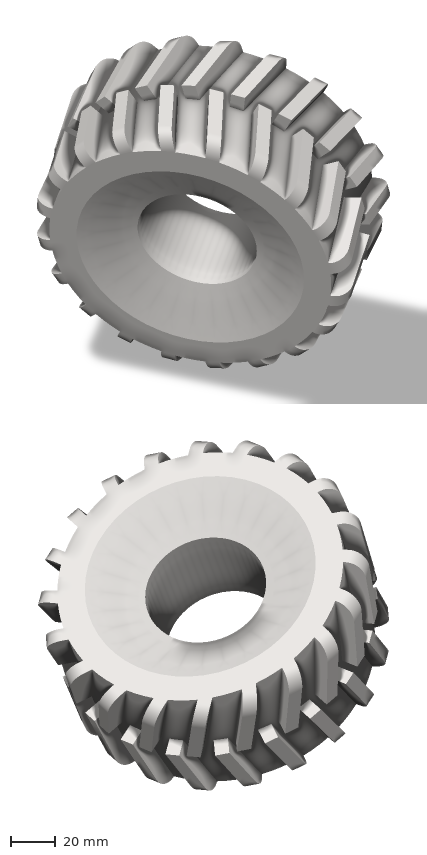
import cadquery as cq
import math

BODY_RADIUS = 65.0
BODY_WIDTH = 68.0
BORE_RADIUS = 27.5
DISH_RADIUS = 52.5
DISH_DEPTH = 11.5
HALF_WIDTH = BODY_WIDTH / 2
WHEEL_AXIS = ((0, 0, 0), (0, 1, 0))

LUG_COUNT = 20
LUG_TOP = 73.0
LUG_ROOT = 60.0
LUG_WIDTH = 6.5
LUG_END_RADIUS = LUG_TOP - BODY_RADIUS
TREAD_PHASE = 4.75
FRONT_LUG_START = -6.6
FRONT_LUG_ANGLE = 13.5
REAR_LUG_START = 3.35
REAR_LUG_ANGLE = 17.0


def make_body():
    """Ring with a conical dish on both faces, turned about the Y axis."""
    profile = [
        (BORE_RADIUS, -HALF_WIDTH + DISH_DEPTH),
        (DISH_RADIUS, -HALF_WIDTH),
        (BODY_RADIUS, -HALF_WIDTH),
        (BODY_RADIUS, HALF_WIDTH),
        (DISH_RADIUS, HALF_WIDTH),
        (BORE_RADIUS, HALF_WIDTH - DISH_DEPTH),
    ]
    return cq.Workplane("XY").polyline(profile).close().revolve(360, *WHEEL_AXIS)


def make_lug(side, start, angle):
    """Slanted bar at the top of the wheel, from the mid plane to the face at Y = side * HALF_WIDTH."""
    end_y = side * HALF_WIDTH
    shift = HALF_WIDTH * math.tan(math.radians(angle))
    footprint = [
        (start, 0),
        (start + LUG_WIDTH, 0),
        (start + LUG_WIDTH + shift, end_y),
        (start + shift, end_y),
    ]
    bar = (
        cq.Workplane("XY", origin=(0, 0, LUG_ROOT))
        .polyline(footprint)
        .close()
        .extrude(LUG_TOP - LUG_ROOT)
    )
    outer_edge = ">Y" if side > 0 else "<Y"
    return bar.faces(">Z").edges(outer_edge).fillet(LUG_END_RADIUS)


def add_lug_row(wheel, lug):
    """Join evenly spaced copies of one lug around the wheel."""
    for index in range(LUG_COUNT):
        turn = TREAD_PHASE + index * 360 / LUG_COUNT
        wheel = wheel.union(lug.rotate(*WHEEL_AXIS, turn))
    return wheel


result = make_body()
result = add_lug_row(result, make_lug(-1, FRONT_LUG_START, FRONT_LUG_ANGLE))
result = add_lug_row(result, make_lug(1, REAR_LUG_START, REAR_LUG_ANGLE))